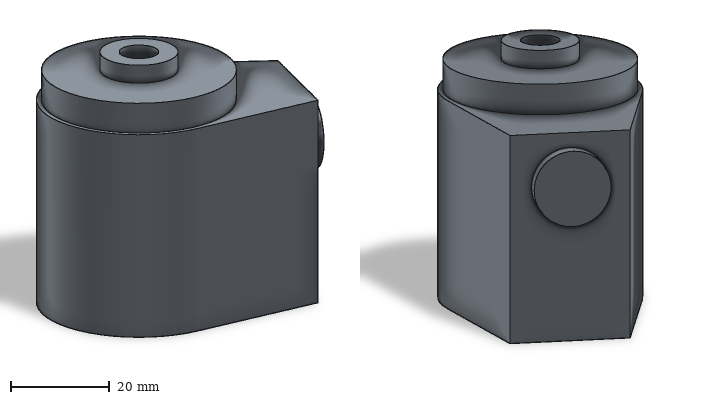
import cadquery as cq
import math

body_radius = 20.8
body_height = 43.7
back_face_y = 34.1
back_face_width = 24.7

cap_radius = 19.75
cap_height = 6.4
boss_radius = 7.9
top_boss_height = 3.85

side_boss_length = 2.9
side_boss_z = 32.7

bore_radius = 4.0

total_height = body_height + cap_height + top_boss_height


def tangent_point(x, y, radius):
    """Point on the +X side where a line from (x, y) touches a circle about the origin."""
    angle = math.atan2(y, x) - math.acos(radius / math.hypot(x, y))
    return radius * math.cos(angle), radius * math.sin(angle)


def make_body():
    corner_x = back_face_width / 2
    tangent_x, tangent_y = tangent_point(corner_x, back_face_y, body_radius)
    return (
        cq.Workplane("XY")
        .moveTo(-corner_x, back_face_y)
        .lineTo(corner_x, back_face_y)
        .lineTo(tangent_x, tangent_y)
        .threePointArc((0, -body_radius), (-tangent_x, tangent_y))
        .close()
        .extrude(body_height)
    )


def make_disc(radius, base_z, height):
    return cq.Workplane("XY").workplane(offset=base_z).circle(radius).extrude(height)


def make_side_boss():
    return (
        cq.Workplane("XZ", origin=(0, back_face_y, side_boss_z))
        .circle(boss_radius)
        .extrude(-side_boss_length)
    )


result = (
    make_body()
    .union(make_disc(cap_radius, body_height, cap_height))
    .union(make_disc(boss_radius, body_height + cap_height, top_boss_height))
    .union(make_side_boss())
    .cut(make_disc(bore_radius, 0, total_height))
)